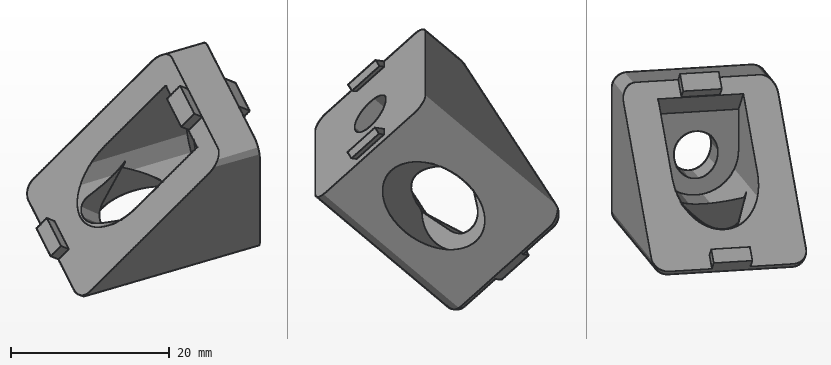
import cadquery as cq
import math

WIDTH = 20.0
HEIGHT = 20.0
CORNER_RADIUS = 2.0
TOP_DEPTH = 4.95
BODY_DEPTH = TOP_DEPTH + HEIGHT
ROOT2 = math.sqrt(2)

POCKET_WIDTH = 11.0
POCKET_CENTER_Z = HEIGHT / 2
BACK_WALL = 4.0
CEILING_DROP = 2.6

BACK_HOLE_RADIUS = 2.83
BACK_HOLE_LOWER_REACH = 3.35
FLOOR_HOLE_RADIUS = 5.24
FLOOR_HOLE_APEX = -13.28
FLOOR_HOLE_START = -3.83

GROOVE_RADIUS = 2.6
GROOVE_HALF_ANGLE = 22
GROOVE_BOTTOM_OFFSET = 15.63
GROOVE_TOP_HALF_WIDTH = 4.6

TAB_WIDTH = 5.0
FRONT_TAB_HEIGHT = 1.48
UPPER_TAB_LENGTH = 2.5
LOWER_TAB_LENGTH = 2.0
BACK_TAB_THICKNESS = 1.0
UPPER_BACK_TAB_REACH = 1.5
LOWER_BACK_TAB_REACH = 1.6
LOWER_BACK_TAB_Z = 2.85

SLOPE = cq.Plane(origin=(0, -TOP_DEPTH, HEIGHT), xDir=(1, 0, 0), normal=(0, -1, 1))
SLOPE_BOTTOM = -(HEIGHT - CORNER_RADIUS) * ROOT2 - CORNER_RADIUS
LONG = 2 * BODY_DEPTH


def slope_position(depth, z):
    """Height along the slope of a point at this depth and z."""
    return (TOP_DEPTH - depth + z - HEIGHT) / ROOT2


def slope_bar(width, bottom, top, inner, outer):
    """Box square to the slope, between two heights and two offsets from it."""
    return (
        cq.Workplane(SLOPE)
        .workplane(offset=inner)
        .center(0, (bottom + top) / 2)
        .rect(width, top - bottom)
        .extrude(outer - inner)
    )


def make_body():
    block = (
        cq.Workplane("XY")
        .box(WIDTH, BODY_DEPTH, HEIGHT, centered=(True, False, False))
        .translate((0, -BODY_DEPTH, 0))
        .edges("|Y")
        .fillet(CORNER_RADIUS)
    )
    half = WIDTH / 2
    inset = half - CORNER_RADIUS
    rise = SLOPE_BOTTOM + CORNER_RADIUS
    diagonal = CORNER_RADIUS / ROOT2
    envelope = (
        cq.Workplane(SLOPE)
        .moveTo(-half, LONG)
        .lineTo(-half, rise)
        .threePointArc((-inset - diagonal, rise - diagonal), (-inset, SLOPE_BOTTOM))
        .lineTo(inset, SLOPE_BOTTOM)
        .threePointArc((inset + diagonal, rise - diagonal), (half, rise))
        .lineTo(half, LONG)
        .close()
        .extrude(-LONG)
    )
    return block.intersect(envelope)


def make_pocket():
    radius = POCKET_WIDTH / 2
    arch = (
        cq.Workplane("XZ", origin=(0, -BACK_WALL, POCKET_CENTER_Z))
        .moveTo(-radius, HEIGHT)
        .lineTo(-radius, 0)
        .threePointArc((0, -radius), (radius, 0))
        .lineTo(radius, HEIGHT)
        .close()
        .extrude(BODY_DEPTH)
    )
    return arch.intersect(slope_bar(WIDTH, -LONG, -CEILING_DROP, -LONG, LONG))


def make_back_hole():
    return (
        cq.Workplane("XZ", origin=(0, 0, POCKET_CENTER_Z))
        .moveTo(BACK_HOLE_RADIUS, 0)
        .threePointArc((0, BACK_HOLE_RADIUS), (-BACK_HOLE_RADIUS, 0))
        .ellipseArc(
            BACK_HOLE_LOWER_REACH, BACK_HOLE_RADIUS, 90, 270, rotation_angle=90, startAtCurrent=True
        )
        .close()
        .extrude(BACK_WALL)
    )


def make_floor_hole():
    return (
        cq.Workplane(SLOPE)
        .workplane(offset=FLOOR_HOLE_START)
        .center(0, FLOOR_HOLE_APEX - FLOOR_HOLE_RADIUS)
        .circle(FLOOR_HOLE_RADIUS)
        .extrude(-LONG)
    )


def make_groove():
    angle = math.radians(GROOVE_HALF_ANGLE)
    bottom = slope_position(GROOVE_BOTTOM_OFFSET, 0)
    tangent_x = GROOVE_RADIUS * math.cos(angle)
    tangent_y = bottom + GROOVE_RADIUS * (1 - math.sin(angle))
    top_y = tangent_y + (GROOVE_TOP_HALF_WIDTH - tangent_x) / math.tan(angle)
    return (
        cq.Workplane(SLOPE)
        .moveTo(-GROOVE_TOP_HALF_WIDTH, top_y)
        .lineTo(-tangent_x, tangent_y)
        .threePointArc((0, bottom), (tangent_x, tangent_y))
        .lineTo(GROOVE_TOP_HALF_WIDTH, top_y)
        .close()
        .extrude(FLOOR_HOLE_START)
    )


def make_front_tab(top, length):
    return slope_bar(TAB_WIDTH, top - length, top, -0.27, FRONT_TAB_HEIGHT)


def make_back_tab(top_z, reach):
    """Tab sloping down behind the back face, its top edge leaving it at top_z."""
    top = slope_position(0, top_z)
    root = (top_z - HEIGHT - TOP_DEPTH) / ROOT2
    return slope_bar(
        TAB_WIDTH, top - BACK_TAB_THICKNESS, top, root - reach * ROOT2, root
    )


result = (
    make_body()
    .cut(make_pocket())
    .cut(make_back_hole())
    .cut(make_floor_hole())
    .cut(make_groove())
    .union(make_front_tab(0, UPPER_TAB_LENGTH))
    .union(make_front_tab(SLOPE_BOTTOM + LOWER_TAB_LENGTH, LOWER_TAB_LENGTH))
    .union(make_back_tab(HEIGHT, UPPER_BACK_TAB_REACH))
    .union(make_back_tab(LOWER_BACK_TAB_Z, LOWER_BACK_TAB_REACH))
)